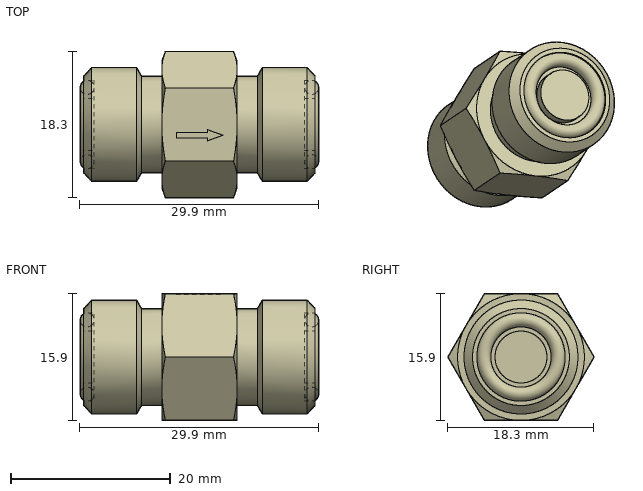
import cadquery as cq
import math

overall_length = 29.87

hex_across_flats = 15.875
hex_width = 9.43
hex_chamfer_angle = 20.0

neck_diameter = 12.14
thread_diameter = 14.28
thread_length = 7.24
neck_length = 2.53
front_chamfer_length = 1.0
back_chamfer_angle = 30.0

groove_diameter = 11.07
ring_inner_diameter = 7.55
boss_diameter = 6.5

arrow_tail_x = -2.88
arrow_head_x = 1.02
arrow_tip_x = 2.93
arrow_centre_y = -1.34
arrow_shaft_width = 0.68
arrow_head_width = 1.38
arrow_depth = 0.1

hex_across_corners = hex_across_flats / math.cos(math.radians(30))
hex_end = hex_width / 2
neck_end = hex_end + neck_length
face_end = neck_end + thread_length
chamfer_depth = (thread_diameter - neck_diameter) / 2
back_chamfer = chamfer_depth * math.tan(math.radians(back_chamfer_angle))
ring_section = (groove_diameter - ring_inner_diameter) / 2
ring_centre_radius = (groove_diameter - ring_section) / 2
ring_centre_x = (overall_length - ring_section) / 2
groove_floor = ring_centre_x - ring_section / 2


def hexagon():
    """Hexagon with corners on the Y axis and conically chamfered ends."""
    prism = (
        cq.Workplane("YZ")
        .polygon(6, hex_across_corners)
        .extrude(hex_width)
        .translate((-hex_end, 0, 0))
    )
    flat_radius = hex_across_flats / 2
    corner_radius = hex_across_corners / 2
    corner_drop = (corner_radius - flat_radius) * math.tan(math.radians(hex_chamfer_angle))
    chamfer_envelope = (
        cq.Workplane("XY")
        .moveTo(-hex_end, 0)
        .lineTo(-hex_end, flat_radius)
        .lineTo(-hex_end + corner_drop, corner_radius)
        .lineTo(hex_end - corner_drop, corner_radius)
        .lineTo(hex_end, flat_radius)
        .lineTo(hex_end, 0)
        .close()
        .revolve(360, (0, 0, 0), (1, 0, 0))
    )
    return prism.intersect(chamfer_envelope)


def threaded_end():
    """Neck, chamfered collar, O-ring groove and central boss of the +X end."""
    neck_radius = neck_diameter / 2
    thread_radius = thread_diameter / 2
    boss_radius = boss_diameter / 2
    return (
        cq.Workplane("XY")
        .moveTo(0, 0)
        .lineTo(0, neck_radius)
        .lineTo(neck_end, neck_radius)
        .lineTo(neck_end + back_chamfer, thread_radius)
        .lineTo(face_end - front_chamfer_length, thread_radius)
        .lineTo(face_end, neck_radius)
        .lineTo(face_end, groove_diameter / 2)
        .lineTo(groove_floor, groove_diameter / 2)
        .lineTo(groove_floor, boss_radius)
        .lineTo(face_end, boss_radius)
        .lineTo(face_end, 0)
        .close()
        .revolve(360, (0, 0, 0), (1, 0, 0))
    )


def flow_arrow():
    """Cutter for the shallow flow arrow in the top flat, pointing to +X."""
    half_shaft = arrow_shaft_width / 2
    half_head = arrow_head_width / 2
    arrow_floor = hex_across_flats / 2 - arrow_depth
    return (
        cq.Workplane("XY", origin=(0, arrow_centre_y, arrow_floor))
        .moveTo(arrow_tail_x, -half_shaft)
        .lineTo(arrow_head_x, -half_shaft)
        .lineTo(arrow_head_x, -half_head)
        .lineTo(arrow_tip_x, 0)
        .lineTo(arrow_head_x, half_head)
        .lineTo(arrow_head_x, half_shaft)
        .lineTo(arrow_tail_x, half_shaft)
        .close()
        .extrude(arrow_depth)
    )


def fitting_body():
    """Hexagon with a threaded end on each side."""
    end = threaded_end()
    return hexagon().union(end).union(end.mirror("YZ")).cut(flow_arrow())


def o_ring(side):
    """O-ring seated in the groove of the +X (side = 1) or -X (side = -1) end."""
    return (
        cq.Workplane("XY")
        .center(side * ring_centre_x, ring_centre_radius)
        .circle(ring_section / 2)
        .revolve(360, (0, -ring_centre_radius, 0), (1, -ring_centre_radius, 0))
    )


body = fitting_body()
o_rings = [o_ring(side).val() for side in (-1, 1)]

result = cq.Compound.makeCompound([body.val(), *o_rings])